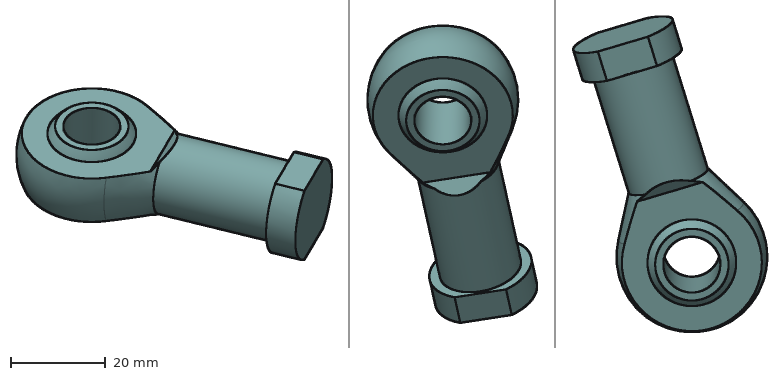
import cadquery as cq
import math

total_length = 66.0
eye_radius = 31.9 / 2
eye_thickness = 12.0
shank_radius = 17.5 / 2
neck_end = 17.15
flat_end = 16.0
collar_radius = 22.0 / 2
collar_length = 6.6
collar_across_flats = 19.0
ball_radius = 22.25 / 2
ball_height = 16.0
bore_diameter = 12.0

shank_end = total_length - eye_radius
collar_start = shank_end - collar_length

neck_angle = math.radians(60)


def eye_point(angle):
    """Point on the eye's spherical profile at an angle from the shank axis."""
    return (eye_radius * math.cos(angle), eye_radius * math.sin(angle))


def ball_sphere():
    return cq.Workplane("XY").sphere(ball_radius)


def make_turned_blank():
    """Spherical eye, conical neck, shank and collar turned about the X axis."""
    return (
        cq.Workplane("XY")
        .moveTo(-eye_radius, 0)
        .threePointArc(eye_point((math.pi + neck_angle) / 2), eye_point(neck_angle))
        .lineTo(neck_end, shank_radius)
        .lineTo(collar_start, shank_radius)
        .lineTo(collar_start, collar_radius)
        .lineTo(shank_end, collar_radius)
        .lineTo(shank_end, 0)
        .close()
        .revolve(360, (0, 0, 0), (1, 0, 0))
    )


def make_side_envelope():
    """Prism bounding the eye faces, their 45 degree run-outs and the collar flats."""
    eye_half = eye_thickness / 2
    collar_half = collar_across_flats / 2
    slope_end = flat_end + collar_half - eye_half
    return (
        cq.Workplane("XZ")
        .moveTo(-eye_radius, -eye_half)
        .lineTo(flat_end, -eye_half)
        .lineTo(slope_end, -collar_half)
        .lineTo(shank_end, -collar_half)
        .lineTo(shank_end, collar_half)
        .lineTo(slope_end, collar_half)
        .lineTo(flat_end, eye_half)
        .lineTo(-eye_radius, eye_half)
        .close()
        .extrude(eye_radius, both=True)
    )


def make_housing():
    """Rod end with a spherical socket that fits the ball."""
    return make_turned_blank().intersect(make_side_envelope()).cut(ball_sphere())


def make_ball():
    """Truncated ball with a through bore along Z."""
    ball_slab = cq.Workplane("XY").box(2 * ball_radius, 2 * ball_radius, ball_height)
    bore = cq.Workplane("XY").circle(bore_diameter / 2).extrude(ball_height, both=True)
    return ball_sphere().intersect(ball_slab).cut(bore)


housing = make_housing()
ball = make_ball()

result = cq.Compound.makeCompound([housing.solids().val(), ball.solids().val()])